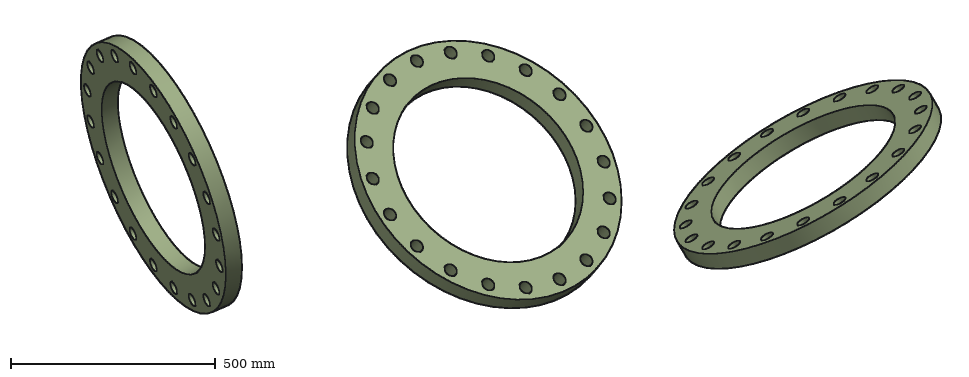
import cadquery as cq

outer_diameter = 715.0
bore_diameter = 508.5
thickness = 46.0

bolt_circle_diameter = 650.0
bolt_hole_diameter = 33.0
bolt_hole_count = 20


def make_ring():
    """Plain ring, centred on the origin."""
    return (
        cq.Workplane("XZ", origin=(0, thickness / 2, 0))
        .circle(outer_diameter / 2)
        .circle(bore_diameter / 2)
        .extrude(thickness)
    )


def make_bolt_holes():
    """Cylinders that pass through the full thickness of the ring."""
    return (
        cq.Workplane("XZ", origin=(0, thickness / 2, 0))
        .polarArray(bolt_circle_diameter / 2, 0, 360, bolt_hole_count)
        .circle(bolt_hole_diameter / 2)
        .extrude(thickness)
    )


result = make_ring().cut(make_bolt_holes())